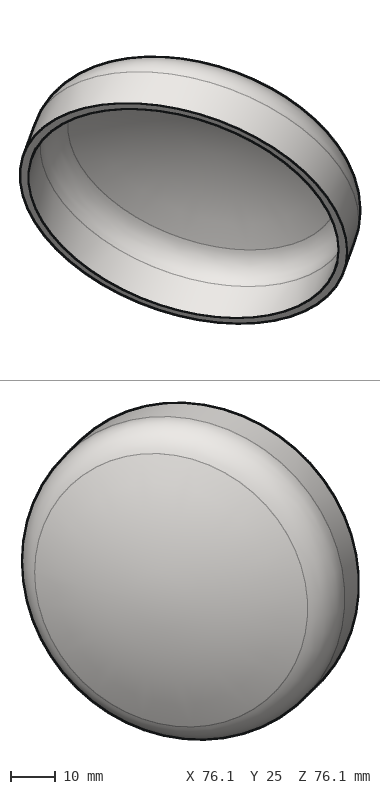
import cadquery as cq
import math

outer_diameter = 76.1
wall = 2.0
height = 25.0
crown_inner_radius = outer_diameter
knuckle_inner_radius = 0.1 * outer_diameter

outer_radius = outer_diameter / 2
inner_radius = outer_radius - wall
crown_outer_radius = crown_inner_radius + wall
knuckle_outer_radius = knuckle_inner_radius + wall

knuckle_centre_x = inner_radius - knuckle_inner_radius
centre_distance = crown_inner_radius - knuckle_inner_radius
tangent_angle = math.asin(knuckle_centre_x / centre_distance)
crown_centre_y = height - crown_outer_radius
rim_height = crown_centre_y + centre_distance * math.cos(tangent_angle)

crown_centre = (0, crown_centre_y)
knuckle_centre = (knuckle_centre_x, rim_height)
crown_mid_angle = tangent_angle / 2
knuckle_mid_angle = (tangent_angle + math.pi / 2) / 2


def arc_point(centre, radius, angle):
    """Point on an arc of the wall section, at an angle from the Y axis."""
    return (
        centre[0] + radius * math.sin(angle),
        centre[1] + radius * math.cos(angle),
    )


def make_wall_section():
    """Half section of the wall: straight rim, knuckle and crown."""
    return (
        cq.Workplane("XY")
        .moveTo(inner_radius, 0)
        .lineTo(outer_radius, 0)
        .lineTo(outer_radius, rim_height)
        .threePointArc(
            arc_point(knuckle_centre, knuckle_outer_radius, knuckle_mid_angle),
            arc_point(knuckle_centre, knuckle_outer_radius, tangent_angle),
        )
        .threePointArc(
            arc_point(crown_centre, crown_outer_radius, crown_mid_angle),
            (0, height),
        )
        .lineTo(0, height - wall)
        .threePointArc(
            arc_point(crown_centre, crown_inner_radius, crown_mid_angle),
            arc_point(crown_centre, crown_inner_radius, tangent_angle),
        )
        .threePointArc(
            arc_point(knuckle_centre, knuckle_inner_radius, knuckle_mid_angle),
            (inner_radius, rim_height),
        )
        .close()
    )


result = make_wall_section().revolve(360, (0, 0), (0, 1))